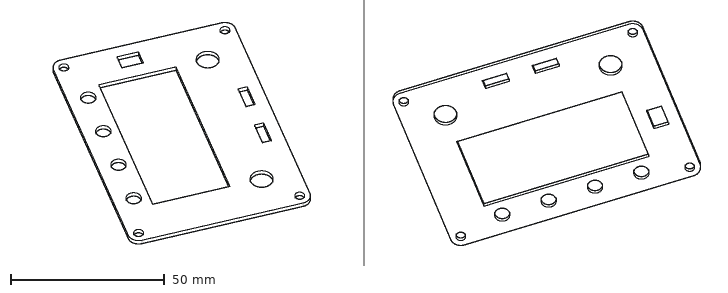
import cadquery as cq

length = 86.0
width = 62.0
thickness = 1.6
corner_radius = 3.5

mount_diameter = 3.2
mount_x = length / 2 - corner_radius
mount_y = width / 2 - corner_radius

window_length = 56.9
window_width = 26.3
window_y = -5.9

large_diameter = 7.5
large_spacing = 56.9
large_y = 18.1

button_diameter = 5.0
button_count = 4
button_pitch = 16.0
button_y = -24.2

slot_length = 8.3
slot_width = 3.1
slot_spacing = 17.2
slot_y = 24.9

switch_length = 5.2
switch_width = 7.3
switch_x = -36.1


def mirrored_pair(spacing, y):
    """Two points at the same height, symmetric about the Y axis."""
    return [(-spacing / 2, y), (spacing / 2, y)]


def round_cutter(points, diameter):
    return cq.Workplane("XY").pushPoints(points).circle(diameter / 2).extrude(thickness)


def rectangular_cutter(points, size_x, size_y):
    return cq.Workplane("XY").pushPoints(points).rect(size_x, size_y).extrude(thickness)


mount_points = [(x, y) for x in (-mount_x, mount_x) for y in (-mount_y, mount_y)]
button_start = -button_pitch * (button_count - 1) / 2
button_points = [(button_start + i * button_pitch, button_y) for i in range(button_count)]

cutters = [
    round_cutter(mount_points, mount_diameter),
    round_cutter(mirrored_pair(large_spacing, large_y), large_diameter),
    round_cutter(button_points, button_diameter),
    rectangular_cutter([(0, window_y)], window_length, window_width),
    rectangular_cutter(mirrored_pair(slot_spacing, slot_y), slot_length, slot_width),
    rectangular_cutter([(switch_x, window_y)], switch_length, switch_width),
]

plate = cq.Workplane("XY").rect(length, width).extrude(thickness)
result = plate.edges("|Z").fillet(corner_radius)
for cutter in cutters:
    result = result.cut(cutter)